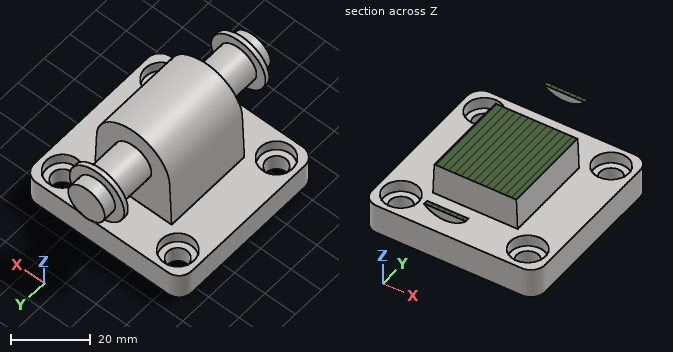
import cadquery as cq
import math

plate_side = 52.0
plate_thickness = 9.0
corner_radius = 4.2
hole_spacing = 38.0
hole_diameter = 6.6
counterbore_diameter = 10.5
counterbore_depth = 3.5

total_height = 37.0
block_length = 28.0
block_base_width = 25.4
crown_radius = 12.0

pin_length = 64
pin_diameter = 12.0
ring_diameter = 18.0
ring_thickness = 1.5
ring_end_distance = 4.0

axis_height = total_height - crown_radius


def cylinder_along_y(diameter, length, center_y=0):
    """Cylinder on the pin axis, centred at center_y."""
    return (
        cq.Workplane("XZ", origin=(0, center_y + length / 2, axis_height))
        .circle(diameter / 2)
        .extrude(length)
    )


def make_plate():
    return (
        cq.Workplane("XY")
        .rect(plate_side, plate_side)
        .extrude(plate_thickness)
        .edges("|Z")
        .fillet(corner_radius)
        .faces(">Z")
        .workplane()
        .rect(hole_spacing, hole_spacing, forConstruction=True)
        .vertices()
        .cboreHole(hole_diameter, counterbore_diameter, counterbore_depth)
    )


def make_block():
    """Block whose straight flanks run tangent into the round crown."""
    half_base = block_base_width / 2
    axis_rise = axis_height - plate_thickness
    corner_distance = math.hypot(half_base, axis_rise)
    tangent_angle = math.acos(crown_radius / corner_distance) - math.atan2(axis_rise, half_base)
    tangent_x = crown_radius * math.cos(tangent_angle)
    tangent_z = axis_height + crown_radius * math.sin(tangent_angle)
    return (
        cq.Workplane("XZ", origin=(0, block_length / 2, 0))
        .moveTo(-half_base, plate_thickness)
        .lineTo(half_base, plate_thickness)
        .lineTo(tangent_x, tangent_z)
        .threePointArc((0, total_height), (-tangent_x, tangent_z))
        .close()
        .extrude(block_length)
    )


result = make_plate().union(make_block()).union(cylinder_along_y(pin_diameter, pin_length))

ring_center_y = pin_length / 2 - ring_end_distance - ring_thickness / 2
for side in (-1, 1):
    result = result.union(cylinder_along_y(ring_diameter, ring_thickness, side * ring_center_y))